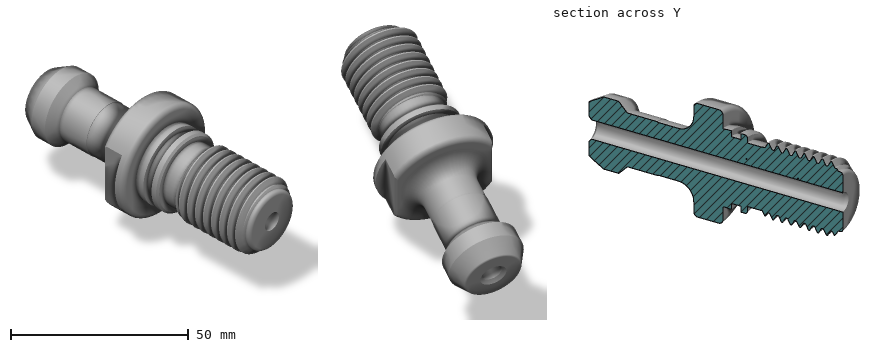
import cadquery as cq
import math


head_radius = 11.5
head_cone_length = 5.0
head_cone_angle = 30
head_shoulder_start = 10.0
head_edge_radius = 0.6
neck_radius = 8.6
neck_end = 23.0
relief_radius = 8.4

flange_start = 35.0
flange_end = 45.0
flange_radius = 18.0
flange_edge_radius = 1.5
flange_root_radius = 5.0
flat_distance = 15.0
flat_end = 42.0
flat_chamfer = 0.6

pilot_radius = 12.5
pilot_base_radius = 12.4
pilot_base_end = 46.1
groove_start = 47.8
groove_end = 50.8
groove_radius = 10.6
pilot_end = 53.1
pilot_chamfer_length = 0.6
pilot_chamfer_depth = 0.7

shank_neck_radius = 10.1
thread_start = 58.0
thread_radius = 12.0
thread_root_radius = 10.2
thread_lead_in = 1.2
thread_pitch = 21.0 / 7
crest_width = thread_pitch / 8
thread_flank_angle = 30
ridge_overlap = 0.25
ridge_turns = 11
top_crest = 60.1
thread_end = 83.5
thread_lead_out = 1.9
tip_radius = 9.5
tip_edge_radius = 1.0
total_length = 85.0

bore_radius = 3.0
bore_chamfer = 1.0


def head_and_pilot():
    """Everything ahead of the thread, turned in one piece."""
    head_front_radius = head_radius - head_cone_length * math.tan(math.radians(head_cone_angle))
    head_shoulder_end = head_shoulder_start + head_radius - neck_radius
    diagonal = math.sqrt(0.5)

    outline = (
        cq.Workplane("XZ")
        .moveTo(0, 0)
        .lineTo(0, head_front_radius)
        .lineTo(head_cone_length, head_radius)
        .lineTo(head_shoulder_start, head_radius)
        .lineTo(head_shoulder_end, neck_radius)
        .lineTo(neck_end, neck_radius)
        .lineTo(neck_end, relief_radius)
        .lineTo(flange_start - flange_root_radius, relief_radius)
        .threePointArc(
            (
                flange_start - flange_root_radius * (1 - diagonal),
                relief_radius + flange_root_radius * (1 - diagonal),
            ),
            (flange_start, relief_radius + flange_root_radius),
        )
        .lineTo(flange_start, flange_radius - flange_edge_radius)
        .threePointArc(
            (
                flange_start + flange_edge_radius * (1 - diagonal),
                flange_radius - flange_edge_radius * (1 - diagonal),
            ),
            (flange_start + flange_edge_radius, flange_radius),
        )
        .lineTo(flange_end - flange_edge_radius, flange_radius)
        .threePointArc(
            (
                flange_end - flange_edge_radius * (1 - diagonal),
                flange_radius - flange_edge_radius * (1 - diagonal),
            ),
            (flange_end, flange_radius - flange_edge_radius),
        )
        .lineTo(flange_end, pilot_base_radius)
        .lineTo(pilot_base_end, pilot_base_radius)
        .lineTo(pilot_base_end, pilot_radius)
        .lineTo(groove_start, pilot_radius)
        .lineTo(groove_start, groove_radius)
        .lineTo(groove_end, groove_radius)
        .lineTo(groove_end, pilot_radius)
        .lineTo(pilot_end - pilot_chamfer_length, pilot_radius)
        .lineTo(pilot_end, pilot_radius - pilot_chamfer_depth)
        .lineTo(pilot_end, shank_neck_radius)
        .lineTo(thread_start, shank_neck_radius)
        .lineTo(thread_start, 0)
        .close()
    )
    body = outline.revolve(360, (0, 0, 0), (1, 0, 0))
    return body.faces("<X").edges().fillet(head_edge_radius)


def thread_ridge():
    """Right-handed 60 degree ridge that overlaps the core and runs past both thread ends."""
    flank_slope = math.tan(math.radians(thread_flank_angle))
    base_radius = thread_root_radius - ridge_overlap
    half_crest = crest_width / 2
    half_base = half_crest + (thread_radius - base_radius) * flank_slope
    path = cq.Wire.makeHelix(thread_pitch, ridge_turns * thread_pitch, base_radius)
    ridge = (
        cq.Workplane("XZ")
        .polyline(
            [
                (base_radius, -half_base),
                (thread_radius, -half_crest),
                (thread_radius, half_crest),
                (base_radius, half_base),
            ]
        )
        .close()
        .sweep(cq.Workplane(path), isFrenet=True)
    )
    return (
        ridge.rotate((0, 0, 0), (0, 1, 0), 90)
        .rotate((0, 0, 0), (1, 0, 0), 180)
        .translate((top_crest - 2 * thread_pitch, 0, 0))
    )


def thread_envelope():
    """Double cone that chamfers the ridge at both ends; its middle stays clear of the crests."""
    return (
        cq.Workplane("XZ")
        .moveTo(thread_start, 0)
        .lineTo(thread_start, shank_neck_radius)
        .lineTo(thread_start + 2 * thread_lead_in, 2 * thread_radius - shank_neck_radius)
        .lineTo(thread_end - 2 * thread_lead_out, 2 * thread_radius - tip_radius)
        .lineTo(thread_end, tip_radius)
        .lineTo(thread_end, 0)
        .close()
        .revolve(360, (0, 0, 0), (1, 0, 0))
    )


def threaded_shank():
    """Core and ridge joined overlong, then trimmed to the thread length."""
    core = (
        cq.Workplane("YZ")
        .workplane(offset=flange_end)
        .circle(thread_root_radius)
        .extrude(total_length)
    )
    return core.union(thread_ridge()).intersect(thread_envelope())


def tip():
    """Plain end of the shank with a rounded rim."""
    return (
        cq.Workplane("YZ")
        .workplane(offset=thread_end)
        .circle(tip_radius)
        .extrude(total_length - thread_end)
        .faces(">X")
        .edges()
        .fillet(tip_edge_radius)
    )


def flat_cutter(side):
    """Block that cuts one wrench flat and bevels its front edge."""
    profile = (
        cq.Workplane("XY")
        .moveTo(flange_start, side * (flat_distance - flat_chamfer))
        .lineTo(flange_start + flat_chamfer, side * flat_distance)
        .lineTo(flat_end, side * flat_distance)
        .lineTo(flat_end, side * (flange_radius + 0.85))
        .lineTo(flange_start, side * (flange_radius + 0.85))
        .close()
    )
    return profile.extrude(flange_radius, both=True)


def coolant_bore():
    """Through bore, chamfered at the head."""
    return (
        cq.Workplane("XY")
        .lineTo(0, bore_radius + bore_chamfer)
        .lineTo(bore_chamfer, bore_radius)
        .lineTo(total_length, bore_radius)
        .lineTo(total_length, 0)
        .close()
        .revolve(360, (0, 0, 0), (1, 0, 0))
    )


result = head_and_pilot().union(threaded_shank()).union(tip()).cut(coolant_bore())
for side in (-1, 1):
    result = result.cut(flat_cutter(side))